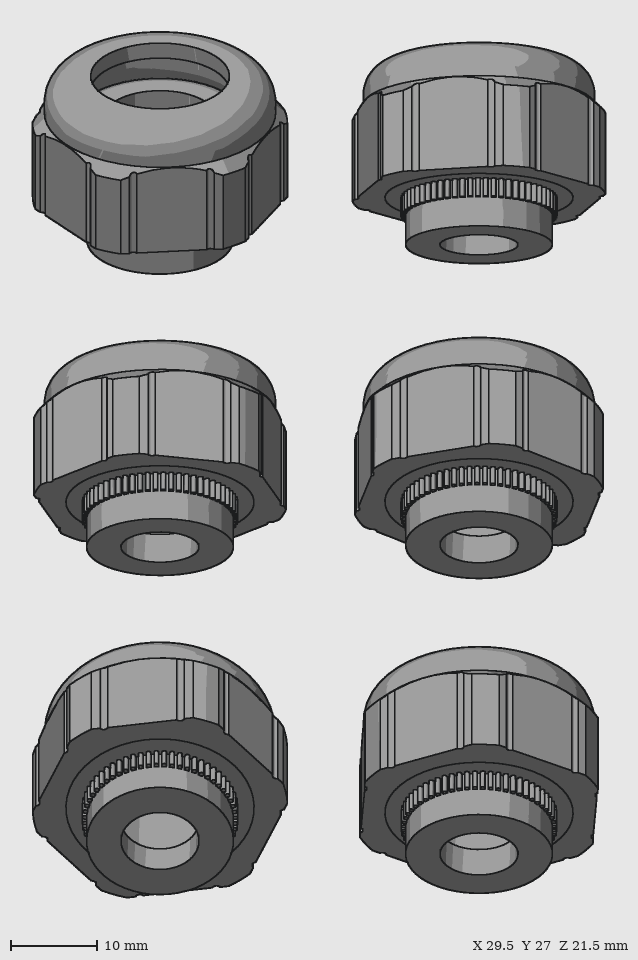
import cadquery as cq
import math

total_height = 21.48
rib_bottom = 3.48
nut_bottom = 5.63
seat_height = 16.05
collar_bottom = 16.67
overhang_bottom = 19.5
lip_start = 18.2

corner_radius = 14.75
grip_count = 6
corner_flat = 27.0 / 2
main_flat = 13.45
collar_radius = 13.4
dome_fillet = 3.48
groove_offset = 4.48
groove_radius = 0.5
groove_distance = 13.72
chamfer_size = corner_radius - collar_radius
hexagon_height = collar_bottom - nut_bottom

opening_radius = 8.02
lip_wall_radius = 8.73
lip_radius = 2.95

stem_radius = 8.5
hole_radius = 6.5
through_radius = 4.5
seat_radius = 8.97
head_fillet = 1.92
head_radius = seat_radius + head_fillet
rib_count = 60
rib_radius = 0.27
rib_tip_radius = 9.03
rib_height = nut_bottom - rib_bottom


def hexagon_prism(flat_distance):
    """Hexagon with its corners on the X axis, standing on the nut bottom."""
    corner_circle = 2 * flat_distance / math.cos(math.pi / grip_count)
    bottom = cq.Workplane("XY").workplane(offset=nut_bottom)
    return bottom.polygon(grip_count, corner_circle).extrude(hexagon_height)


def chamfered_blank():
    """Round blank with a 45 degree chamfer that ends at the collar."""
    blank = cq.Workplane("XY").workplane(offset=nut_bottom).circle(corner_radius).extrude(hexagon_height)
    return blank.faces(">Z").chamfer(chamfer_size)


def flat_relief():
    """Cutter for one side: the shallow relief of the flat and the two grooves that bound it."""
    bottom = cq.Workplane("XY").workplane(offset=nut_bottom)
    relief_depth = corner_flat - main_flat
    relief = bottom.center(0, main_flat + relief_depth / 2).rect(2 * groove_offset, relief_depth)
    grooves = bottom.pushPoints([(-groove_offset, groove_distance), (groove_offset, groove_distance)])
    return relief.extrude(hexagon_height).union(grooves.circle(groove_radius).extrude(hexagon_height))


def domed_collar():
    """Round top of the nut."""
    collar = cq.Workplane("XY").workplane(offset=nut_bottom).circle(collar_radius)
    return collar.extrude(total_height - nut_bottom).faces(">Z").edges().fillet(dome_fillet)


def nut_cavity():
    """Opening, undercut wall, rounded lip and bore that houses the insert head."""
    lip_center = lip_wall_radius + lip_radius
    end_angle = math.acos((lip_center - head_radius) / lip_radius)
    lip_end = lip_start - lip_radius * math.sin(end_angle)
    lip_middle = (
        lip_center - lip_radius * math.cos(end_angle / 2),
        lip_start - lip_radius * math.sin(end_angle / 2),
    )
    profile = (
        cq.Workplane("XZ")
        .moveTo(0, total_height)
        .lineTo(opening_radius, total_height)
        .lineTo(opening_radius, overhang_bottom)
        .lineTo(lip_wall_radius, overhang_bottom)
        .lineTo(lip_wall_radius, lip_start)
        .threePointArc(lip_middle, (head_radius, lip_end))
        .lineTo(head_radius, nut_bottom)
        .lineTo(0, nut_bottom)
        .close()
    )
    return profile.revolve(360, (0, 0, 0), (0, 1, 0))


def make_nut():
    body = hexagon_prism(corner_flat).intersect(chamfered_blank())
    relief = flat_relief()
    for side in range(grip_count):
        body = body.cut(relief.rotate((0, 0, 0), (0, 0, 1), side * 360 / grip_count))
    return body.union(domed_collar()).cut(nut_cavity())


def insert_ribs():
    """Straight ribs with half-round tips, rooted in the wall of the stem just below the head."""
    tip_center = rib_tip_radius - rib_radius
    bottom = cq.Workplane("XY").workplane(offset=rib_bottom)
    tips = bottom.polarArray(tip_center, 0, 360, rib_count).circle(rib_radius).extrude(rib_height)
    flank_length = tip_center - hole_radius
    flank_center = tip_center - flank_length / 2
    flanks = bottom.polarArray(flank_center, 0, 360, rib_count).rect(flank_length, 2 * rib_radius)
    return tips.union(flanks.extrude(rib_height))


def make_insert():
    stem = cq.Workplane("XY").circle(stem_radius).extrude(nut_bottom)
    head = cq.Workplane("XY").workplane(offset=nut_bottom).circle(head_radius).extrude(seat_height - nut_bottom)
    head = head.faces(">Z").edges().fillet(head_fillet)
    counterbore = cq.Workplane("XY").workplane(offset=rib_bottom).circle(hole_radius).extrude(seat_height)
    through_hole = cq.Workplane("XY").circle(through_radius).extrude(seat_height)
    return stem.union(insert_ribs()).union(head).cut(counterbore).cut(through_hole)


nut = make_nut()
insert = make_insert()
result = cq.Compound.makeCompound([nut.solids().val(), insert.solids().val()])